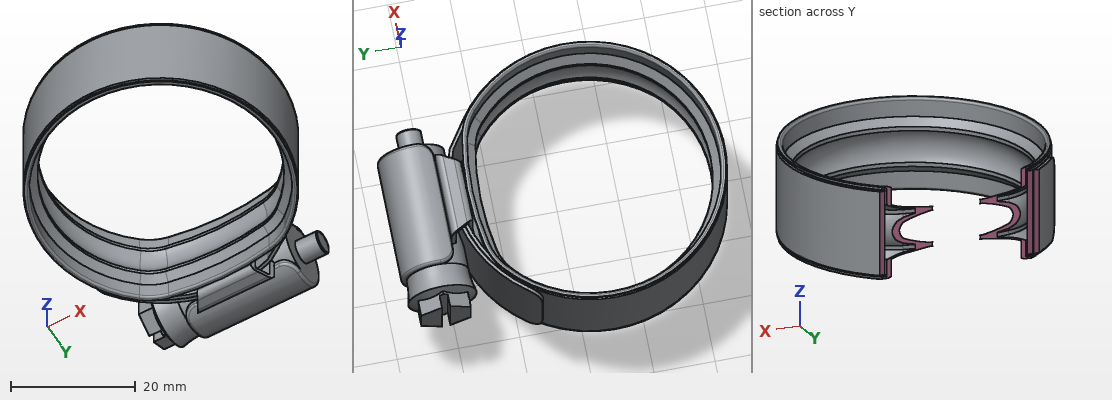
import cadquery as cq
import math


BAND_OUTER_RADIUS = 22.1
BAND_THICKNESS = 0.6
BAND_WIDTH = 14.3
LAYER_CLEARANCE = 0.05
BASE_START_ANGLE = 80
LIFT_START_ANGLE = 56
TAIL_END_ANGLE = 149.5
TAIL_CORNER_RADIUS = 2.6

BAND_INNER_RADIUS = BAND_OUTER_RADIUS - BAND_THICKNESS
TAIL_INNER_RADIUS = BAND_OUTER_RADIUS + LAYER_CLEARANCE
TAIL_OUTER_RADIUS = TAIL_INNER_RADIUS + BAND_THICKNESS
LIFT_SWEEP = math.degrees(math.acos(BAND_OUTER_RADIUS / TAIL_OUTER_RADIUS))
TAIL_START_ANGLE = LIFT_START_ANGLE + LIFT_SWEEP

LINER_THICKNESS = 0.4
LINER_WIDTH = 15.7
LINER_FLANGE_RADIUS = 21.9
LINER_BEND_RADIUS = 0.38
BEAD_RADIUS = 19.77
BEAD_FOOT_Z = 4.65
BEAD_CREST_Z = 3.4
GROOVE_EDGE_Z = 2.7
GROOVE_DEPTH = 0.9
CORNER_RADIUS = 8.0
CORNER_START_ANGLE = 39.8
CORNER_END_ANGLE = 11.2

LINER_WALL_RADIUS = BAND_INNER_RADIUS - LINER_THICKNESS

SCREW_Y = 26.8
SHANK_RADIUS = 3.9
TIP_RADIUS = 2.03
TIP_END_X = 14.45
TIP_CHAMFER = 0.2
HEX_ACROSS_FLATS = 8.1
HEX_END_X = -17.5
CONE_BASE_X = -15.2
COLLAR_RADIUS = 5.6
COLLAR_X = -14.4
SLOT_WIDTH = 1.35
SLOT_DEPTH = 2.1

HOUSING_LENGTH = 20.8
BARREL_RADIUS = 5.07
COVER_RADIUS = 5.9
COVER_CORNER_RADIUS = 2.5
COVER_EDGE_RADIUS = 0.5
END_WALL = 1.5
LOOP_WIDTH = 17.3
LOOP_TOP_Y = 23.85
LOOP_BOTTOM_Y = 20.0
LOOP_TOP_LENGTH = 14.2
LOOP_BOTTOM_LENGTH = 10.0
LOOP_THICKNESS = 0.75
LOOP_BEND_RADIUS = 1.1

HOUSING_END_X = HOUSING_LENGTH / 2
SHANK_END_X = HOUSING_END_X - END_WALL


def polar(radius, angle):
    """Point on a circle about the origin, the angle in degrees from +X."""
    return (radius * math.cos(math.radians(angle)), radius * math.sin(math.radians(angle)))


def make_band():
    """One strip: a full turn around the ring, a lifted stretch, and a tail lying over its start."""
    ring_middle = (BASE_START_ANGLE + LIFT_START_ANGLE + 360) / 2
    tail_middle = (TAIL_START_ANGLE + TAIL_END_ANGLE) / 2
    strip = (
        cq.Workplane("XY")
        .workplane(offset=-BAND_WIDTH / 2)
        .moveTo(*polar(BAND_OUTER_RADIUS, BASE_START_ANGLE))
        .threePointArc(polar(BAND_OUTER_RADIUS, ring_middle), polar(BAND_OUTER_RADIUS, LIFT_START_ANGLE))
        .lineTo(*polar(TAIL_OUTER_RADIUS, TAIL_START_ANGLE))
        .threePointArc(polar(TAIL_OUTER_RADIUS, tail_middle), polar(TAIL_OUTER_RADIUS, TAIL_END_ANGLE))
        .lineTo(*polar(TAIL_INNER_RADIUS, TAIL_END_ANGLE))
        .threePointArc(polar(TAIL_INNER_RADIUS, tail_middle), polar(TAIL_INNER_RADIUS, TAIL_START_ANGLE))
        .lineTo(*polar(BAND_INNER_RADIUS, LIFT_START_ANGLE))
        .threePointArc(polar(BAND_INNER_RADIUS, ring_middle), polar(BAND_INNER_RADIUS, BASE_START_ANGLE))
        .close()
        .extrude(BAND_WIDTH)
    )
    tail_x, tail_y = polar((TAIL_INNER_RADIUS + TAIL_OUTER_RADIUS) / 2, TAIL_END_ANGLE)
    for z in (-BAND_WIDTH / 2, BAND_WIDTH / 2):
        corner = strip.edges(cq.NearestToPointSelector((tail_x, tail_y, z)))
        strip = corner.fillet(TAIL_CORNER_RADIUS)
    return strip


def liner_path():
    """Closed plan curve of the bead crest: a circle, two shoulders and a flattened top arc."""
    start = math.radians(CORNER_START_ANGLE)
    end = math.radians(CORNER_END_ANGLE)
    middle = (start + end) / 2
    shoulder_x = (BEAD_RADIUS - CORNER_RADIUS) * math.sin(start)
    shoulder_y = (BEAD_RADIUS - CORNER_RADIUS) * math.cos(start)
    top_radius = CORNER_RADIUS + shoulder_x / math.sin(end)
    top_y = shoulder_y - shoulder_x / math.tan(end) + top_radius

    def shoulder_point(side, angle):
        x = shoulder_x + CORNER_RADIUS * math.sin(angle)
        return (side * x, shoulder_y + CORNER_RADIUS * math.cos(angle))

    bottom = (0, -BEAD_RADIUS)
    return (
        cq.Workplane("XY")
        .moveTo(*bottom)
        .threePointArc((BEAD_RADIUS, 0), shoulder_point(1, start))
        .threePointArc(shoulder_point(1, middle), shoulder_point(1, end))
        .threePointArc((0, top_y), shoulder_point(-1, end))
        .threePointArc(shoulder_point(-1, middle), shoulder_point(-1, start))
        .threePointArc((-BEAD_RADIUS, 0), bottom)
    )


def make_liner():
    """Sheet with two sealing beads, a groove between them and an outward flange at each edge."""
    half = LINER_WIDTH / 2
    flange_z = half - LINER_THICKNESS
    back_wall = LINER_WALL_RADIUS + LINER_THICKNESS
    back_crest = BEAD_RADIUS + LINER_THICKNESS
    bend = LINER_BEND_RADIUS
    bend_inset = bend * (1 - math.sqrt(0.5))
    profile = (
        cq.Workplane("YZ")
        .moveTo(-LINER_FLANGE_RADIUS, half)
        .lineTo(-LINER_WALL_RADIUS - bend, half)
        .threePointArc(
            (-LINER_WALL_RADIUS - bend_inset, half - bend_inset), (-LINER_WALL_RADIUS, half - bend)
        )
        .lineTo(-LINER_WALL_RADIUS, BEAD_FOOT_Z)
        .lineTo(-BEAD_RADIUS, BEAD_CREST_Z)
        .lineTo(-BEAD_RADIUS, GROOVE_EDGE_Z)
        .threePointArc((-BEAD_RADIUS - GROOVE_DEPTH, 0), (-BEAD_RADIUS, -GROOVE_EDGE_Z))
        .lineTo(-BEAD_RADIUS, -BEAD_CREST_Z)
        .lineTo(-LINER_WALL_RADIUS, -BEAD_FOOT_Z)
        .lineTo(-LINER_WALL_RADIUS, -half + bend)
        .threePointArc(
            (-LINER_WALL_RADIUS - bend_inset, -half + bend_inset), (-LINER_WALL_RADIUS - bend, -half)
        )
        .lineTo(-LINER_FLANGE_RADIUS, -half)
        .lineTo(-LINER_FLANGE_RADIUS, -flange_z)
        .lineTo(-back_wall, -flange_z)
        .lineTo(-back_wall, -BEAD_FOOT_Z)
        .lineTo(-back_crest, -BEAD_CREST_Z)
        .lineTo(-back_crest, -GROOVE_EDGE_Z)
        .threePointArc((-back_crest - GROOVE_DEPTH, 0), (-back_crest, GROOVE_EDGE_Z))
        .lineTo(-back_crest, BEAD_CREST_Z)
        .lineTo(-back_wall, BEAD_FOOT_Z)
        .lineTo(-back_wall, flange_z)
        .lineTo(-LINER_FLANGE_RADIUS, flange_z)
        .close()
    )
    return profile.sweep(liner_path())


def rod(radius, start_x, end_x):
    """Cylinder on the screw axis."""
    return (
        cq.Workplane("YZ", origin=(start_x, SCREW_Y, 0))
        .circle(radius)
        .extrude(end_x - start_x)
    )


def make_screw():
    """Slotted hexagon head, flared collar, plain shank and a narrow tip."""
    collar_end_x = -HOUSING_END_X
    flare_rise = COLLAR_RADIUS - BARREL_RADIUS
    flare_middle = ((COLLAR_X + collar_end_x) / 2, SCREW_Y + BARREL_RADIUS + flare_rise / 4)
    turned = (
        cq.Workplane("XY")
        .moveTo(CONE_BASE_X, SCREW_Y)
        .lineTo(CONE_BASE_X, SCREW_Y + HEX_ACROSS_FLATS / 2)
        .lineTo(COLLAR_X, SCREW_Y + COLLAR_RADIUS)
        .threePointArc(flare_middle, (collar_end_x, SCREW_Y + BARREL_RADIUS))
        .lineTo(collar_end_x, SCREW_Y + SHANK_RADIUS)
        .lineTo(SHANK_END_X, SCREW_Y + SHANK_RADIUS)
        .lineTo(SHANK_END_X, SCREW_Y + TIP_RADIUS)
        .lineTo(TIP_END_X - TIP_CHAMFER, SCREW_Y + TIP_RADIUS)
        .lineTo(TIP_END_X, SCREW_Y + TIP_RADIUS - TIP_CHAMFER)
        .lineTo(TIP_END_X, SCREW_Y)
        .close()
        .revolve(360, (0, SCREW_Y, 0), (1, SCREW_Y, 0))
    )
    hexagon = (
        cq.Workplane("YZ", origin=(HEX_END_X, SCREW_Y, 0))
        .transformed(rotate=(0, 0, 90))
        .polygon(6, HEX_ACROSS_FLATS / math.cos(math.pi / 6))
        .extrude(COLLAR_X - HEX_END_X)
    )
    slot = cq.Workplane("XY", origin=(HEX_END_X + SLOT_DEPTH / 2, SCREW_Y, 0)).box(
        SLOT_DEPTH, SLOT_WIDTH, 2 * HEX_ACROSS_FLATS
    )
    return turned.union(hexagon).cut(slot)


def make_cover():
    """Half-round saddle over the barrel, its lower corners rounded and its rim softened."""
    top_y = SCREW_Y + COVER_RADIUS
    outline = (
        cq.Workplane("XY", origin=(0, (LOOP_TOP_Y + top_y) / 2, 0))
        .rect(HOUSING_LENGTH, top_y - LOOP_TOP_Y)
        .extrude(COVER_RADIUS, both=True)
        .edges("|Z and <Y")
        .fillet(COVER_CORNER_RADIUS)
    )
    cover = rod(COVER_RADIUS, -HOUSING_END_X, HOUSING_END_X).intersect(outline)
    return cover.faces("<X or >X").edges().fillet(COVER_EDGE_RADIUS)


def make_loop():
    """Closed strap under the barrel that the band passes through, its ends tapering towards the ring."""
    height = LOOP_TOP_Y - LOOP_BOTTOM_Y
    middle_y = (LOOP_TOP_Y + LOOP_BOTTOM_Y) / 2

    def tube(y_size, z_size, bend):
        return (
            cq.Workplane("YZ", origin=(-LOOP_TOP_LENGTH / 2, middle_y, 0))
            .rect(y_size, z_size)
            .extrude(LOOP_TOP_LENGTH)
            .edges("|X")
            .fillet(bend)
        )

    inner_height = height - 2 * LOOP_THICKNESS
    inner_width = LOOP_WIDTH - 2 * LOOP_THICKNESS
    strap = tube(height, LOOP_WIDTH, LOOP_BEND_RADIUS)
    strap = strap.cut(tube(inner_height, inner_width, LOOP_BEND_RADIUS - LOOP_THICKNESS))
    taper = (
        cq.Workplane("XY")
        .moveTo(-LOOP_TOP_LENGTH / 2, LOOP_TOP_Y)
        .lineTo(LOOP_TOP_LENGTH / 2, LOOP_TOP_Y)
        .lineTo(LOOP_BOTTOM_LENGTH / 2, LOOP_BOTTOM_Y)
        .lineTo(-LOOP_BOTTOM_LENGTH / 2, LOOP_BOTTOM_Y)
        .close()
        .extrude(LOOP_WIDTH, both=True)
    )
    return strap.intersect(taper)


def make_housing():
    """Barrel, saddle cover and strap loop, bored for the screw and relieved for the band."""
    barrel = rod(BARREL_RADIUS, -HOUSING_END_X, HOUSING_END_X)
    band_space = (
        cq.Workplane("XY").circle(TAIL_OUTER_RADIUS).extrude(BAND_WIDTH / 2, both=True)
    )
    return (
        barrel.cut(band_space)
        .union(make_cover())
        .union(make_loop())
        .cut(rod(SHANK_RADIUS, -HOUSING_END_X, SHANK_END_X))
        .cut(rod(TIP_RADIUS, SHANK_END_X, HOUSING_END_X))
    )


liner = make_liner().solids()
band = make_band().solids()
housing = make_housing().solids()
screw = make_screw().solids()

result = cq.Compound.makeCompound([liner.val(), band.val(), housing.val(), screw.val()])